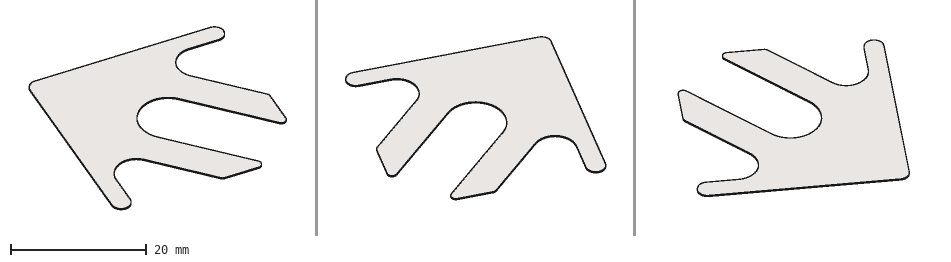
import cadquery as cq
import math

SIDE = 31.5
THICKNESS = 0.25
LEG_WIDTH = 3.0
CORNER_RADIUS = 1.5
SLOT_WIDTH = 9.2
SLOT_CENTRE = 15.8
FINGER_SPAN = 20.0
GULLET_RADIUS = 3.3
FINGERTIP_RADIUS = 0.75

DIAGONAL_ANGLE = 45
ROOT2 = math.sqrt(2)
LEG_END_RADIUS = LEG_WIDTH / 2
SLOT_RADIUS = SLOT_WIDTH / 2

FINGER_OFFSET = FINGER_SPAN / 2 * ROOT2

GULLET_X = LEG_WIDTH + GULLET_RADIUS
GULLET_Y = GULLET_X + FINGER_OFFSET + GULLET_RADIUS * ROOT2
GULLET_MIDDLE_ANGLE = math.radians(180 + 135 / 2)


def mirrored(point):
    """Reflect a point across the diagonal Y = X."""
    return (point[1], point[0])


def base_plate():
    """Square plate with its outer corner, near the origin, rounded."""
    plate = cq.Workplane("XY").rect(SIDE, SIDE).extrude(THICKNESS)
    return plate.translate((SIDE / 2, SIDE / 2, 0)).edges("|Z and <X and <Y").fillet(CORNER_RADIUS)


def gullet_cutter(place):
    """Opening between a leg and a finger; place maps each point to its side of the diagonal."""
    diagonal_step = GULLET_RADIUS / ROOT2
    leg_end = (LEG_WIDTH, SIDE)
    leg_tangent = (LEG_WIDTH, GULLET_Y)
    arc_middle = (
        GULLET_X + GULLET_RADIUS * math.cos(GULLET_MIDDLE_ANGLE),
        GULLET_Y + GULLET_RADIUS * math.sin(GULLET_MIDDLE_ANGLE),
    )
    finger_tangent = (GULLET_X + diagonal_step, GULLET_Y - diagonal_step)
    finger_end = (SIDE - FINGER_OFFSET, SIDE)
    return (
        cq.Workplane("XY")
        .moveTo(*place(leg_end))
        .lineTo(*place(leg_tangent))
        .threePointArc(place(arc_middle), place(finger_tangent))
        .lineTo(*place(finger_end))
        .close()
        .extrude(THICKNESS)
    )


def slot_cutter():
    """Round-ended diagonal slot that runs out through the far corner."""
    length = (SIDE - SLOT_CENTRE) * ROOT2 + SLOT_WIDTH
    channel = cq.Workplane("XY").rect(length, SLOT_WIDTH).extrude(THICKNESS)
    channel = channel.translate((length / 2, 0, 0))
    round_end = cq.Workplane("XY").circle(SLOT_RADIUS).extrude(THICKNESS)
    cutter = channel.union(round_end).rotate((0, 0, 0), (0, 0, 1), DIAGONAL_ANGLE)
    return cutter.translate((SLOT_CENTRE, SLOT_CENTRE, 0))


def round_corner(body, point, radius):
    """Fillet the vertical edge standing at the given XY point."""
    edge = cq.selectors.NearestToPointSelector((point[0], point[1], THICKNESS / 2))
    return body.edges("|Z").edges(edge).fillet(radius)


def round_side(body, place):
    """Round the leg end and both fingertip corners on one side of the diagonal."""
    fingertip_outer = (SIDE - FINGER_OFFSET, SIDE)
    fingertip_inner = (SIDE - SLOT_RADIUS * ROOT2, SIDE)
    body = round_corner(body, place(fingertip_outer), FINGERTIP_RADIUS)
    body = round_corner(body, place(fingertip_inner), FINGERTIP_RADIUS)
    leg_end_centre = place((LEG_END_RADIUS, SIDE - LEG_END_RADIUS))
    end_square_centre = place((LEG_END_RADIUS, SIDE - LEG_END_RADIUS / 2))
    end_size = place((LEG_WIDTH, LEG_END_RADIUS))
    end_square = cq.Workplane("XY").center(*end_square_centre).rect(*end_size).extrude(THICKNESS)
    end_disc = cq.Workplane("XY").center(*leg_end_centre).circle(LEG_END_RADIUS).extrude(THICKNESS)
    return body.cut(end_square).union(end_disc)


def unchanged(point):
    """Keep a point on the upper side of the diagonal."""
    return point


result = base_plate().cut(slot_cutter())
for side in (unchanged, mirrored):
    result = result.cut(gullet_cutter(side))
    result = round_side(result, side)